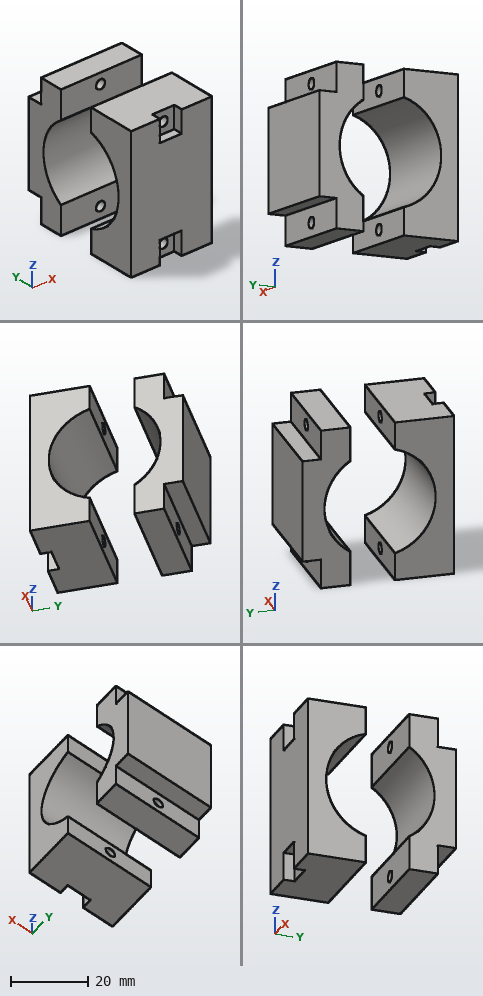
import cadquery as cq

WIDTH = 27.5
DEPTH = 41.0
HEIGHT = 44.0

BORE_RADIUS = 15.0
BORE_AXIS_Y = 20.0

FRONT_DEPTH = 16.0
REAR_DEPTH = 13.0
REAR_STEP_DEPTH = 5.0
REAR_STEP_HEIGHT = 8.0

HOLE_DIAMETER = 3.0
HOLE_X = 13.45
UPPER_HOLE_INSET = 3.55
LOWER_HOLE_INSET = 3.8
HOLE_HEIGHTS = (HEIGHT / 2 - UPPER_HOLE_INSET, LOWER_HOLE_INSET - HEIGHT / 2)

POCKET_WIDTH = 7.5
POCKET_DEPTH = 3.0
UPPER_POCKET_HEIGHT = 7.25
LOWER_POCKET_HEIGHT = 7.6


def block(x_start, y_start, z_start, x_size, y_size, z_size):
    """Box placed by its lowest corner."""
    corner = (x_start, y_start, z_start)
    return cq.Workplane("XY").box(x_size, y_size, z_size, centered=False).translate(corner)


def bore():
    """Cylinder of the clamped tube, through the full width."""
    return cq.Workplane("YZ").center(BORE_AXIS_Y, 0).circle(BORE_RADIUS).extrude(WIDTH)


def screw_holes():
    """Two cylinders through the full depth."""
    centres = [(HOLE_X, z) for z in HOLE_HEIGHTS]
    return cq.Workplane("XZ").pushPoints(centres).circle(HOLE_DIAMETER / 2).extrude(-DEPTH)


def make_front_clamp():
    """Plain block with half of the bore, screw holes and two head pockets."""
    clamp = block(0, 0, -HEIGHT / 2, WIDTH, FRONT_DEPTH, HEIGHT)
    clamp = clamp.cut(bore()).cut(screw_holes())
    pockets = (
        (HEIGHT / 2 - UPPER_POCKET_HEIGHT, UPPER_POCKET_HEIGHT),
        (-HEIGHT / 2, LOWER_POCKET_HEIGHT),
    )
    pocket_x = HOLE_X - POCKET_WIDTH / 2
    for z_start, pocket_height in pockets:
        clamp = clamp.cut(block(pocket_x, 0, z_start, POCKET_WIDTH, POCKET_DEPTH, pocket_height))
    return clamp


def make_rear_clamp():
    """Block stepped at its top and bottom rear edges, with the other part of the bore."""
    clamp = block(0, DEPTH - REAR_DEPTH, -HEIGHT / 2, WIDTH, REAR_DEPTH, HEIGHT)
    for z_start in (-HEIGHT / 2, HEIGHT / 2 - REAR_STEP_HEIGHT):
        step = block(0, DEPTH - REAR_STEP_DEPTH, z_start, WIDTH, REAR_STEP_DEPTH, REAR_STEP_HEIGHT)
        clamp = clamp.cut(step)
    return clamp.cut(bore()).cut(screw_holes())


front_clamp = make_front_clamp()
rear_clamp = make_rear_clamp()

result = cq.Compound.makeCompound([front_clamp.solids().val(), rear_clamp.solids().val()])